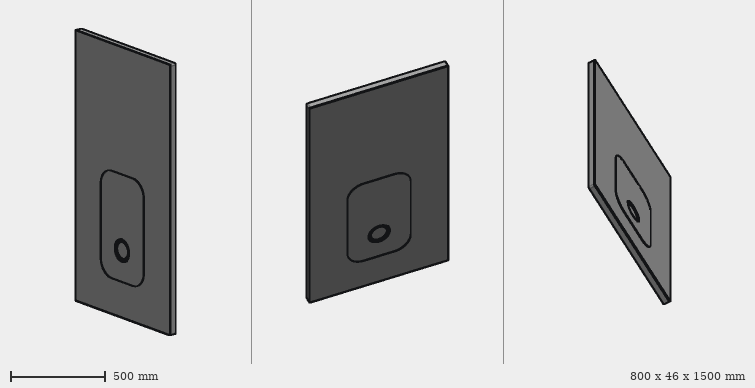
import cadquery as cq

TOTAL_DEPTH = 46.0
WIDTH = 800.0
HEIGHT = 1500.0
RAISED_DEPTH = 5.0
BODY_DEPTH = TOTAL_DEPTH - RAISED_DEPTH

TRAY_CORNER_RADIUS = 9.0
BACK_EDGE_RADIUS = 6.0
RIM_WIDTH = 5.0
RECESS_DEPTH = 8.0

PANEL_WIDTH = WIDTH - 2 * RIM_WIDTH
PANEL_HEIGHT = HEIGHT - 2 * RIM_WIDTH
PANEL_CORNER_RADIUS = TRAY_CORNER_RADIUS - RIM_WIDTH
RAISED_WIDTH = 363.0
RAISED_HEIGHT = 594.0
RAISED_CORNER_RADIUS = 93.0
RAISED_CENTRE_Z = 498.0

BUTTON_DIAMETER = 125.0
BUTTON_RADIUS = BUTTON_DIAMETER / 2
BUTTON_CENTRE_Z = 375.0
BUTTON_THICKNESS = 9.0
BEVEL_DEPTH = 8.0
BEVEL_WIDTH = 9.0
DISH_RADIUS = 45.0
DISH_DEPTH = 2.0


def rounded_slab(width, height, corner_radius, back_y, centre_z, depth):
    """Upright slab with rounded outline, running from back_y toward -Y."""
    return (
        cq.Workplane("XZ", origin=(0, back_y, centre_z))
        .rect(width, height)
        .extrude(depth)
        .edges("|Y")
        .fillet(corner_radius)
    )


def disc(radius, back_y, depth):
    """Disc on the button axis, running from back_y toward -Y."""
    return cq.Workplane("XZ", origin=(0, back_y, BUTTON_CENTRE_Z)).circle(radius).extrude(depth)


def panel_slab():
    """Plain flush slab that is both the panel's base and the shape of the tray recess."""
    return rounded_slab(PANEL_WIDTH, PANEL_HEIGHT, PANEL_CORNER_RADIUS, RECESS_DEPTH, HEIGHT / 2, RECESS_DEPTH)


def make_tray():
    block = rounded_slab(WIDTH, HEIGHT, TRAY_CORNER_RADIUS, BODY_DEPTH, HEIGHT / 2, BODY_DEPTH)
    block = block.faces(">Y").edges().fillet(BACK_EDGE_RADIUS)
    return block.cut(panel_slab())


def make_panel():
    raised_area = rounded_slab(
        RAISED_WIDTH,
        RAISED_HEIGHT,
        RAISED_CORNER_RADIUS,
        RECESS_DEPTH,
        RAISED_CENTRE_Z,
        RECESS_DEPTH + RAISED_DEPTH,
    )
    button_hole = disc(BUTTON_RADIUS, RECESS_DEPTH, RECESS_DEPTH + RAISED_DEPTH)
    return panel_slab().union(raised_area).cut(button_hole)


def make_button():
    button = disc(BUTTON_RADIUS, RECESS_DEPTH, BUTTON_THICKNESS)
    button = button.faces("<Y").edges().chamfer(BEVEL_DEPTH, BEVEL_WIDTH)
    top_y = RECESS_DEPTH - BUTTON_THICKNESS
    return button.cut(disc(DISH_RADIUS, top_y + DISH_DEPTH, DISH_DEPTH))


tray = make_tray()
panel = make_panel()
button = make_button()

result = cq.Compound.makeCompound([tray.val(), panel.val(), button.val()])